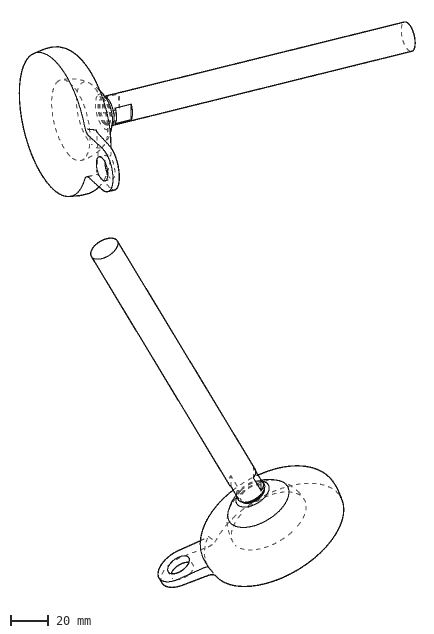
import cadquery as cq
import math

overall_length = 211.5
rod_radius = 8.0
flat_offset = 6.5
flat_start = 33.5
flat_end = 43.0
neck_top = 32.0
neck_bottom = 30.7
neck_radius = 7.0
ball_radius = 22.0
ball_center = 10.4
ball_top_radius = 9.7

bottom_radius = 39.1
rim_radius = 40.0
draft_height = 6.0
rim_height = 9.0
shoulder_radius = 35.0
shoulder_height = 16.0
mouth_radius = 19.9
mouth_height = 22.0
lip_height = 23.0

hole_center = 55.6
hole_radius = 6.5
tab_radius = 12.5
tab_tip_thickness = 3.8
tab_corner_radius = 5.0


def ball_section_radius(height):
    """Radius of the ball at a height above the base's underside."""
    return math.sqrt(ball_radius**2 - (height - ball_center) ** 2)


def revolve_about_y(profile):
    return profile.close().revolve(360, (0, 0, 0), (0, 1, 0))


def make_ball():
    """Spherical zone with a flat top and a flat underside at the equator."""
    top_height = ball_center + math.sqrt(ball_radius**2 - ball_top_radius**2)
    middle_radius = ball_radius * math.cos(math.pi / 6)
    middle_height = ball_center + ball_radius * math.sin(math.pi / 6)
    profile = (
        cq.Workplane("XY")
        .moveTo(0, ball_center)
        .lineTo(ball_radius, ball_center)
        .threePointArc((middle_radius, middle_height), (ball_top_radius, top_height))
        .lineTo(0, top_height)
    )
    return revolve_about_y(profile)


def make_rod():
    """Round rod with a tapered neck and two opposite wrench flats."""
    profile = (
        cq.Workplane("XY")
        .moveTo(0, ball_center)
        .lineTo(neck_radius, ball_center)
        .lineTo(neck_radius, neck_bottom)
        .lineTo(rod_radius, neck_top)
        .lineTo(rod_radius, overall_length)
        .lineTo(0, overall_length)
    )
    rod = revolve_about_y(profile)
    flat_length = flat_end - flat_start
    cut_depth = rod_radius - flat_offset
    for side in (-1, 1):
        cutter = cq.Workplane("XY").box(cut_depth, flat_length, 2 * rod_radius)
        cutter_x = side * (flat_offset + cut_depth / 2)
        rod = rod.cut(cutter.translate((cutter_x, (flat_start + flat_end) / 2, 0)))
    return rod


def make_stud():
    return make_rod().union(make_ball())


def make_dish():
    """Round dish with a drafted lower band, rounded shoulder, conical top and chamfered lip."""
    profile = (
        cq.Workplane("XY")
        .lineTo(bottom_radius, 0)
        .lineTo(rim_radius, draft_height)
        .lineTo(rim_radius, rim_height)
        .tangentArcPoint((shoulder_radius, shoulder_height), relative=False)
        .lineTo(mouth_radius, mouth_height)
        .lineTo(ball_section_radius(lip_height), lip_height)
        .lineTo(0, lip_height)
    )
    return revolve_about_y(profile)


def make_tab():
    """Rounded tab with a sloping top, blended into the dish by inside corners."""
    tip_x = hole_center + tab_radius
    corner_z = tab_radius + tab_corner_radius
    corner_x = math.sqrt((bottom_radius + tab_corner_radius) ** 2 - corner_z**2)
    touch_ratio = bottom_radius / (bottom_radius + tab_corner_radius)
    touch_x = corner_x * touch_ratio
    touch_z = corner_z * touch_ratio
    middle_angle = (math.atan2(-corner_z, -corner_x) - math.pi / 2) / 2
    middle_x = corner_x + tab_corner_radius * math.cos(middle_angle)
    middle_z = corner_z + tab_corner_radius * math.sin(middle_angle)

    outline = (
        cq.Workplane("XZ")
        .moveTo(0, touch_z)
        .lineTo(touch_x, touch_z)
        .threePointArc((middle_x, middle_z), (corner_x, tab_radius))
        .lineTo(hole_center, tab_radius)
        .threePointArc((tip_x, 0), (hole_center, -tab_radius))
        .lineTo(corner_x, -tab_radius)
        .threePointArc((middle_x, -middle_z), (touch_x, -touch_z))
        .lineTo(0, -touch_z)
        .close()
        .extrude(-draft_height)
    )
    side_wedge = (
        cq.Workplane("XY")
        .lineTo(tip_x, 0)
        .lineTo(tip_x, tab_tip_thickness)
        .lineTo(touch_x, draft_height)
        .lineTo(0, draft_height)
        .close()
        .extrude(touch_z, both=True)
    )
    hole = cq.Workplane("XZ").center(hole_center, 0).circle(hole_radius).extrude(-draft_height)
    return outline.intersect(side_wedge).cut(hole)


def make_base():
    return make_dish().union(make_tab()).cut(make_ball())


stud = make_stud()
base = make_base()

result = cq.Compound.makeCompound([stud.val(), base.val()])